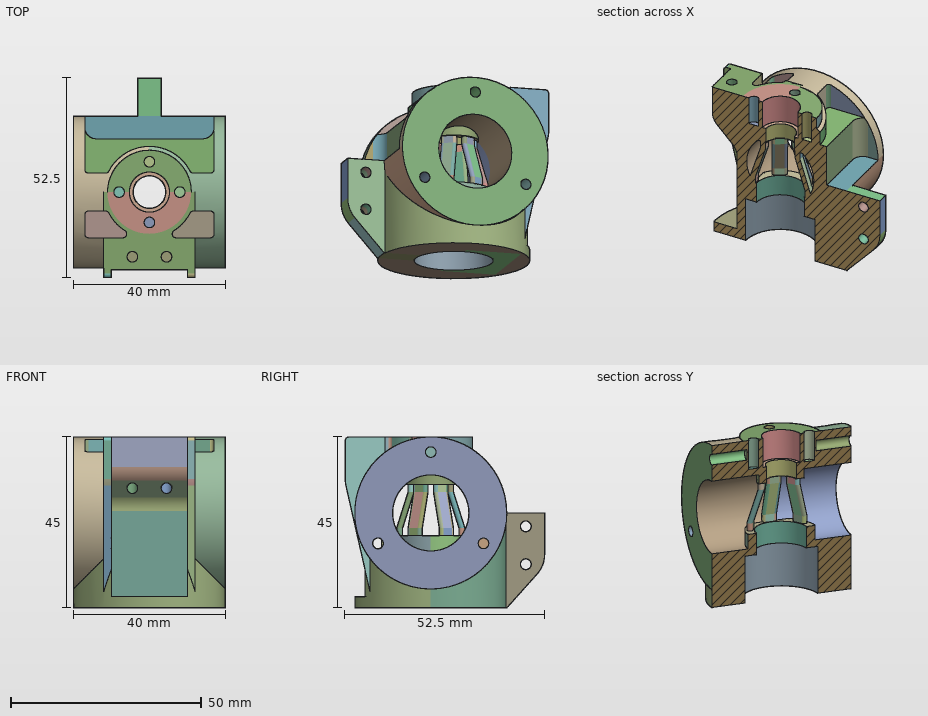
import cadquery as cq
import math

pipe_radius = 20.0
pipe_length = 2 * pipe_radius
pipe_bore_radius = pipe_radius / 2
top_z = pipe_radius
base_z = -25.0
boss_radius = 11.0

screw_diameter = 2.8
end_bolt_radius = 16.0
end_bolt_depth = 10.05
boss_bolt_radius = 8.0
boss_bolt_depth = 8.0
boss_bolt_count = 4
end_bolt_angles = (90, 210, 330)

seat_z = 12.0
upper_seat_diameter = 10.55
upper_opening_diameter = 8.5
lower_seat_diameter = 20.8
lower_opening_diameter = 14.3

upper_hub_diameter = 13.1
lower_hub_diameter = 19.3
upper_hub_z = 7.45
lower_hub_z = -6.0
leg_foot_height = 2.0
leg_count = 6
leg_width = 4.15
leg_thickness = 1.65
leg_top_radius = 5.2
leg_bottom_radius = 8.2

bracket_front_y = -22.5
bracket_half_width = 12.0
bracket_knee_z = 8.0
bracket_foot_y = -15.0
bracket_top_fillet = 1.0
bracket_knee_fillet = 8.0
slot_half_width = pipe_radius / 2
slot_floor_z = -22.0
slot_wall_y = -13.0
block_front_y = -20.5
block_lower_z = 10.0
block_fillet = 5.0
block_hole_spacing = 9.0
block_hole_y = -17.0

lug_tip_y = 30.0
lug_width = 6.25
lug_corner_z = -13.85
lug_fillet = 7.75
lug_hole_y = 25.0
lug_hole_depths = (3.5, 13.5)

pocket_half_width = 17.0
pocket_floor_z = 12.0
pocket_inner_y = 5.0
pocket_boss_radius = 12.0
pocket_fillet = 1.0
front_pocket_inner_x = 6.0
front_pocket_outer_y = 12.0
rear_step_y = 14.0
rear_step_fillet = 3.0


def z_cylinder(radius, z_from, z_to):
    return cq.Workplane("XY").workplane(offset=z_from).circle(radius).extrude(z_to - z_from)


def x_prism(points, half_width):
    """Prism with a YZ outline, centred on X = 0."""
    return cq.Workplane("YZ").polyline(points).close().extrude(half_width, both=True)


def near(y, z):
    """Selector for the X-running edge closest to a point of the YZ outline."""
    return cq.selectors.NearestToPointSelector((0, y, z))


def make_pipes():
    cross_pipe = cq.Workplane("YZ").circle(pipe_radius).extrude(pipe_length / 2, both=True)
    base = z_cylinder(pipe_radius, base_z, 0)
    boss = z_cylinder(boss_radius, 0, top_z)
    return cross_pipe.union(base).union(boss)


def make_bracket():
    outline = [
        (0, top_z),
        (bracket_front_y, top_z),
        (bracket_front_y, bracket_knee_z),
        (bracket_foot_y, base_z),
        (0, base_z),
    ]
    bracket = x_prism(outline, bracket_half_width)
    bracket = bracket.edges(near(bracket_front_y, top_z)).fillet(bracket_top_fillet)
    return bracket.edges(near(bracket_front_y, bracket_knee_z)).fillet(bracket_knee_fillet)


def make_bracket_slot():
    """Opening between the ribs; its back steps out at 45 degrees to the block."""
    step = slot_wall_y - block_front_y
    front = 2 * bracket_front_y
    outline = [
        (front, top_z),
        (block_front_y, top_z),
        (block_front_y, block_lower_z),
        (slot_wall_y, block_lower_z - step),
        (slot_wall_y, slot_floor_z),
        (front, slot_floor_z),
    ]
    slot = x_prism(outline, slot_half_width)
    slot = slot.edges(near(block_front_y, block_lower_z)).fillet(block_fillet)
    return slot.edges(near(slot_wall_y, block_lower_z - step)).fillet(block_fillet)


def make_block_holes():
    return (
        cq.Workplane("XY")
        .pushPoints([(side * block_hole_spacing / 2, block_hole_y) for side in (-1, 1)])
        .circle(screw_diameter / 2)
        .extrude(top_z)
    )


def make_lug():
    outline = [(0, 0), (lug_tip_y, 0), (lug_tip_y, lug_corner_z), (pipe_radius, base_z), (0, base_z)]
    lug = x_prism(outline, lug_width / 2).edges(near(lug_tip_y, lug_corner_z)).fillet(lug_fillet)
    holes = (
        cq.Workplane("YZ")
        .pushPoints([(lug_hole_y, -depth) for depth in lug_hole_depths])
        .circle(screw_diameter / 2)
        .extrude(lug_width, both=True)
    )
    return lug.cut(holes)


def pocket_box(x_from, x_to, y_from, y_to, z_floor):
    size = (x_to - x_from, y_to - y_from, pipe_radius)
    return cq.Workplane("XY").box(*size, centered=False).translate((x_from, y_from, z_floor))


def make_pockets():
    boss_wall = z_cylinder(pocket_boss_radius, 0, 2 * pipe_radius)
    front = pocket_box(
        front_pocket_inner_x, pocket_half_width, -front_pocket_outer_y, -pocket_inner_y, pocket_floor_z
    )
    front = front.cut(boss_wall).edges("|Z").fillet(pocket_fillet)
    rear = pocket_box(-pocket_half_width, pocket_half_width, pocket_inner_y, lug_tip_y, pocket_floor_z)
    rear = rear.cut(boss_wall).edges("|Z").fillet(pocket_fillet)
    step = pocket_box(-pocket_half_width, pocket_half_width, rear_step_y, lug_tip_y, 0)
    step = step.edges("|Z and <Y").fillet(rear_step_fillet)
    return front.union(front.mirror("YZ")).union(rear).union(step)


def make_end_bolt_holes():
    points = [
        (end_bolt_radius * math.cos(math.radians(a)), end_bolt_radius * math.sin(math.radians(a)))
        for a in end_bolt_angles
    ]
    holes = (
        cq.Workplane("YZ")
        .workplane(offset=pipe_length / 2 - end_bolt_depth)
        .pushPoints(points)
        .circle(screw_diameter / 2)
        .extrude(end_bolt_depth)
    )
    return holes.union(holes.mirror("YZ"))


def make_boss_bolt_holes():
    return (
        cq.Workplane("XY")
        .workplane(offset=top_z - boss_bolt_depth)
        .polarArray(boss_bolt_radius, 0, 360, boss_bolt_count)
        .circle(screw_diameter / 2)
        .extrude(boss_bolt_depth)
    )


def make_leg():
    """Round-ended leg: upright at both ends, leaning outwards in between."""
    top_foot_z = upper_hub_z - leg_foot_height
    bottom_foot_z = lower_hub_z + leg_foot_height

    def section(radius, z):
        return cq.Workplane("XY", origin=(radius, 0, z)).slot2D(leg_width, leg_thickness, 90)

    top_foot = section(leg_top_radius, top_foot_z).extrude(leg_foot_height)
    bottom_foot = section(leg_bottom_radius, lower_hub_z).extrude(leg_foot_height)
    middle = (
        section(leg_bottom_radius, bottom_foot_z)
        .workplane(offset=top_foot_z - bottom_foot_z)
        .center(leg_top_radius - leg_bottom_radius, 0)
        .slot2D(leg_width, leg_thickness, 90)
        .loft(ruled=True)
    )
    return middle.union(top_foot).union(bottom_foot)


def make_cage():
    cage = z_cylinder(upper_hub_diameter / 2, upper_hub_z, seat_z)
    cage = cage.union(z_cylinder(lower_hub_diameter / 2, -seat_z, lower_hub_z))
    leg = make_leg()
    pitch = 360 / leg_count
    for i in range(leg_count):
        cage = cage.union(leg.rotate((0, 0, 0), (0, 0, 1), (i + 0.5) * pitch))
    return cage


def make_vertical_bores():
    upper_seat = z_cylinder(upper_seat_diameter / 2, seat_z, top_z)
    upper_opening = z_cylinder(upper_opening_diameter / 2, upper_hub_z, seat_z)
    lower_opening = z_cylinder(lower_opening_diameter / 2, -seat_z, lower_hub_z)
    lower_seat = z_cylinder(lower_seat_diameter / 2, base_z, -seat_z)
    return upper_seat.union(upper_opening).union(lower_opening).union(lower_seat)


pipe_bore = cq.Workplane("YZ").circle(pipe_bore_radius).extrude(pipe_length, both=True)

result = make_pipes().union(make_bracket()).union(make_lug())
result = result.cut(make_bracket_slot()).cut(make_block_holes())
result = result.cut(make_pockets()).cut(make_end_bolt_holes()).cut(make_boss_bolt_holes())
result = result.cut(pipe_bore).union(make_cage()).cut(make_vertical_bores())